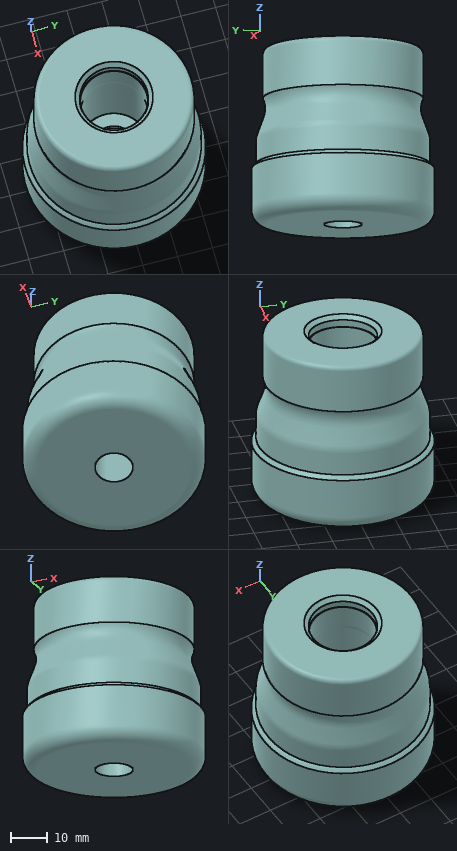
import cadquery as cq
import math

total_height = 49.35

base_radius = 25.4
base_height = 16.8
base_bottom_fillet = 4.0
base_chamfer = 0.75
base_bevel_start = 15.65
base_hole_radius = 5.25
base_hole_chamfer = 0.4

collar_radius = 22.25
collar_fillet = 1.5
collar_bottom = 35.35
body_radius = 24.15
shoulder_bottom = 23.5
shoulder_arc_radius = 5.1
waist_radius = 21.6
waist_arc_radius = 6.0
cone_angle = math.radians(20)

mouth_radius = 10.75
mouth_depth = 1.2
relief_radius = 9.5
bore_radius = 9.35
bore_top_depth = 3.35
bore_bottom_depth = 10.75
relief_taper_depth = 0.9


def point_on_arc(center, radius, angle):
    """Point at a given angle from +X on a circle in the XZ plane."""
    return (center[0] + radius * math.cos(angle), center[1] + radius * math.sin(angle))


def make_base():
    blank = (
        cq.Workplane("XZ")
        .lineTo(base_radius, 0)
        .lineTo(base_radius, base_bevel_start)
        .lineTo(base_radius - base_chamfer, base_bevel_start + base_chamfer)
        .lineTo(body_radius, base_height)
        .lineTo(0, base_height)
        .close()
        .revolve(360, (0, 0), (0, 1))
    )
    rounded = blank.faces("<Z").edges().fillet(base_bottom_fillet)
    drilled = rounded.faces(">Z").workplane(origin=(0, 0, base_height)).hole(2 * base_hole_radius)
    return drilled.faces(">Z").edges(cq.selectors.RadiusNthSelector(0)).chamfer(base_hole_chamfer)


def make_sleeve_blank():
    """Solid of revolution with a waist arc and shoulder arc joined by a cone."""
    shoulder_center = (body_radius - shoulder_arc_radius, shoulder_bottom)
    shoulder_middle = point_on_arc(shoulder_center, shoulder_arc_radius, cone_angle / 2)
    shoulder_top = point_on_arc(shoulder_center, shoulder_arc_radius, cone_angle)

    cone_top_radius = waist_radius + waist_arc_radius * (1 - math.cos(cone_angle))
    cone_top_height = shoulder_top[1] + (shoulder_top[0] - cone_top_radius) / math.tan(cone_angle)
    waist_height = cone_top_height + waist_arc_radius * math.sin(cone_angle)

    return (
        cq.Workplane("XZ")
        .moveTo(0, base_height)
        .lineTo(body_radius, base_height)
        .lineTo(body_radius, shoulder_bottom)
        .threePointArc(shoulder_middle, shoulder_top)
        .lineTo(cone_top_radius, cone_top_height)
        .threePointArc((waist_radius, waist_height), (collar_radius, collar_bottom))
        .lineTo(collar_radius, total_height)
        .lineTo(0, total_height)
        .close()
        .revolve(360, (0, 0), (0, 1))
        .faces(">Z").edges().fillet(collar_fillet)
    )


def make_bore():
    """Cutter for the bore: bevelled mouth, upper relief, guiding length, lower relief."""
    bore_top = total_height - bore_top_depth
    bore_bottom = total_height - bore_bottom_depth
    return (
        cq.Workplane("XZ")
        .moveTo(0, total_height)
        .lineTo(mouth_radius, total_height)
        .lineTo(relief_radius, total_height - mouth_depth)
        .lineTo(relief_radius, bore_top)
        .lineTo(bore_radius, bore_top)
        .lineTo(bore_radius, bore_bottom)
        .lineTo(relief_radius, bore_bottom - relief_taper_depth)
        .lineTo(relief_radius, base_height)
        .lineTo(0, base_height)
        .close()
        .revolve(360, (0, 0), (0, 1))
    )


base = make_base()
sleeve = make_sleeve_blank().cut(make_bore())

result = cq.Compound.makeCompound([base.val(), sleeve.val()])